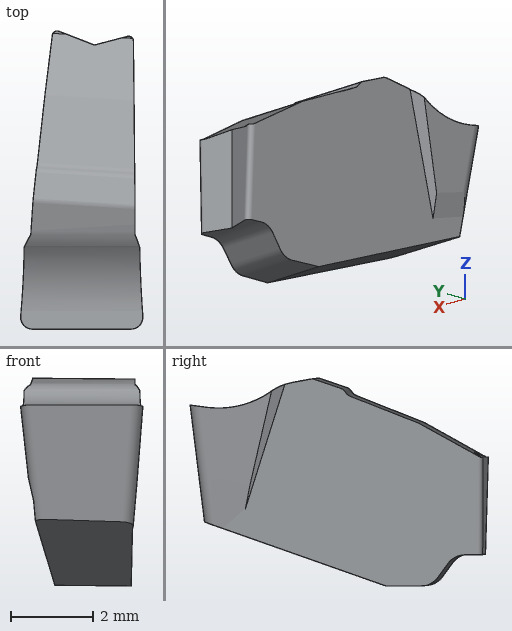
import cadquery as cq
import math

REACH = 20.0
MARGIN = 1.0

LENGTH = 7.26
CROSS_TURN = 0.063
CROSS_FALL = 0.008
SWEEP_HALF_WIDTH = 4.0
OUTLINE_X = -1.20

TAIL_TOP_Z = 3.13
TAIL_BOTTOM_Z = 0.76
TOP_BLEND = 0.20
BELLY_BLEND = 0.50

BODY_OUTLINE = [
    (LENGTH + MARGIN, TAIL_TOP_Z, 0),
    (7.16, TAIL_TOP_Z, 0),
    (5.65, 3.965, TOP_BLEND),
    (3.925, 4.643, TOP_BLEND),
    (3.805, 4.796, TOP_BLEND),
    (3.055, 5.05, TOP_BLEND),
    (-MARGIN, 4.31, 0),
    (-MARGIN, 2.06, 0),
    (4.84, 0.0, 0),
    (5.955, 0.0, BELLY_BLEND),
    (6.515, TAIL_BOTTOM_Z, BELLY_BLEND),
    (LENGTH + MARGIN, TAIL_BOTTOM_Z, 0),
]

EDGE_Z = 4.40
EDGE_HALF_WIDTH = 1.515
RELIEF_SLOPE = math.tan(math.radians(7.0))
LIP_END = (0.44, 4.34)
BOWL_MIDDLE = (1.23, 4.39)
BOWL_END = (2.02, 4.765)
CREST_MIDDLE = (2.18, 4.852)
CREST_END = (2.36, 4.917)
CREST_RISE = 0.24
CORNER_RADIUS = 0.30

BODY_LEFT = (-1.0433, 0.08, -0.078)
BODY_RIGHT = (1.217, -0.0015, 0.018)
HEAD_LEFT = (-EDGE_HALF_WIDTH + 0.10 * EDGE_Z, 0.072, -0.10)
HEAD_RIGHT = (EDGE_HALF_WIDTH - 0.07 * EDGE_Z, -0.06, 0.07)

SHOULDER_TOP_OUTER = (1.98, 4.72)
SHOULDER_TOP_INNER = (2.31, 4.906)
SHOULDER_LOW_OUTER = (1.38, 2.47)
SHOULDER_FRONT_OUTER = (0.525, 2.65)
SHOULDER_LOW_INNER = (1.345, 1.86)

V_DEPTH = 0.337
V_BOTTOM = (0.31, LENGTH - V_DEPTH)
V_SLOPE = 0.325
TAIL_CORNER_RADIUS = 0.12


def rounded_outline(corners):
    """Closed YZ wire through (y, z, radius) corners, with a tangent arc at each corner that has a radius."""
    stations = []
    for i, (y, z, radius) in enumerate(corners):
        corner = cq.Vector(0, y, z)
        if not radius:
            stations.append((corner, None, corner))
            continue
        before = (cq.Vector(0, *corners[i - 1][:2]) - corner).normalized()
        after = (cq.Vector(0, *corners[(i + 1) % len(corners)][:2]) - corner).normalized()
        half_angle = before.getAngle(after) / 2
        setback = radius / math.tan(half_angle)
        to_arc = radius / math.sin(half_angle) - radius
        middle = corner + (before + after).normalized() * to_arc
        stations.append((corner + before * setback, middle, corner + after * setback))
    edges = []
    for i, (start, middle, end) in enumerate(stations):
        edges.append(cq.Edge.makeLine(stations[i - 1][2], start))
        if middle:
            edges.append(cq.Edge.makeThreePointArc(start, middle, end))
    return cq.Wire.assembleEdges(edges)


def body_prism():
    """Side outline swept across the part, wider than the part on both sides."""
    sweep = cq.Vector(1, -CROSS_TURN, -CROSS_FALL)
    start = sweep * -(SWEEP_HALF_WIDTH + OUTLINE_X)
    start_wire = rounded_outline(BODY_OUTLINE).translate(start)
    return cq.Workplane(cq.Solid.extrudeLinear(start_wire, [], sweep * (2 * SWEEP_HALF_WIDTH)))


def front_prism():
    """Everything behind the front flank and below the lip, bowl and crest, straight along X."""
    flank_foot = (EDGE_Z + MARGIN) * RELIEF_SLOPE
    return (
        cq.Workplane("YZ")
        .moveTo(0, EDGE_Z)
        .lineTo(*LIP_END)
        .threePointArc(BOWL_MIDDLE, BOWL_END)
        .threePointArc(CREST_MIDDLE, CREST_END)
        .lineTo(REACH, CREST_END[1] + CREST_RISE * (REACH - CREST_END[0]))
        .lineTo(REACH, -MARGIN)
        .lineTo(flank_foot, -MARGIN)
        .close()
        .extrude(REACH / 2, both=True)
    )


def on_face(face, point):
    """Point of a side face at the given (y, z)."""
    offset, per_y, per_z = face
    y, z = point
    return cq.Vector(offset + per_y * y + per_z * z, y, z)


def space_inside(points):
    """Large block on the x = 0 side of the plane through three points."""
    a, b, c = points
    normal = (b - a).cross(c - a)
    if normal.dot(a) > 0:
        normal = normal * -1
    return cq.Workplane(cq.Plane(a, b - a, normal)).rect(2 * REACH, 2 * REACH).extrude(REACH)


def space_inside_face(face):
    return space_inside([on_face(face, p) for p in ((0, 0), (1, 0), (0, 1))])


def shoulder_spaces(head_face, body_face):
    """Blocks bounding the head behind and below its side face."""
    top_outer = on_face(head_face, SHOULDER_TOP_OUTER)
    top_inner = on_face(body_face, SHOULDER_TOP_INNER)
    front_outer = on_face(head_face, SHOULDER_FRONT_OUTER)
    low_outer = on_face(head_face, SHOULDER_LOW_OUTER)
    low_inner = on_face(body_face, SHOULDER_LOW_INNER)
    yield space_inside([top_outer, top_inner, low_inner])
    yield space_inside([front_outer, low_outer, low_inner])


def tail_space():
    """Region in front of the V-shaped tail end."""
    x, y = V_BOTTOM
    outline = [
        (x, y),
        (x + REACH, y + (V_SLOPE - CROSS_TURN) * REACH),
        (x + REACH, -REACH),
        (x - REACH, -REACH),
        (x - REACH, y + (V_SLOPE + CROSS_TURN) * REACH),
    ]
    wire = cq.Wire.makePolygon([cq.Vector(*p, -MARGIN) for p in outline], close=True)
    return cq.Workplane(cq.Solid.extrudeLinear(wire, [], cq.Vector(0, 0, REACH)))


def between_sides(left_face, right_face):
    return space_inside_face(left_face).intersect(space_inside_face(right_face))


def round_upright_edges(solid, places, radius):
    """Fillet the edges whose centres lie nearest to the given places."""
    for place in places:
        solid = solid.edges(cq.NearestToPointSelector(place.toTuple())).fillet(radius)
    return solid


def front_corner_places(left_face, right_face):
    z = EDGE_Z / 2
    y = (EDGE_Z - z) * RELIEF_SLOPE
    return [on_face(face, (y, z)) for face in (left_face, right_face)]


def tail_corner_places():
    return [on_face(face, (LENGTH, REACH / 2)) for face in (BODY_LEFT, BODY_RIGHT)]


def make_body(blank):
    envelope = between_sides(BODY_LEFT, BODY_RIGHT).intersect(tail_space())
    envelope = round_upright_edges(envelope, tail_corner_places(), TAIL_CORNER_RADIUS)
    return blank.intersect(envelope)


def make_head(blank):
    head = blank.intersect(between_sides(HEAD_LEFT, HEAD_RIGHT))
    for head_face, body_face in ((HEAD_LEFT, BODY_LEFT), (HEAD_RIGHT, BODY_RIGHT)):
        for space in shoulder_spaces(head_face, body_face):
            head = head.intersect(space)
    return head


def front_corner_waste():
    """Slivers outside the rounded corners between the front flank and the head side faces."""
    sharp = front_prism().intersect(between_sides(HEAD_LEFT, HEAD_RIGHT))
    rounded = round_upright_edges(sharp, front_corner_places(HEAD_LEFT, HEAD_RIGHT), CORNER_RADIUS)
    return sharp.cut(rounded)


blank = body_prism().intersect(front_prism())
result = make_body(blank).union(make_head(blank)).cut(front_corner_waste())